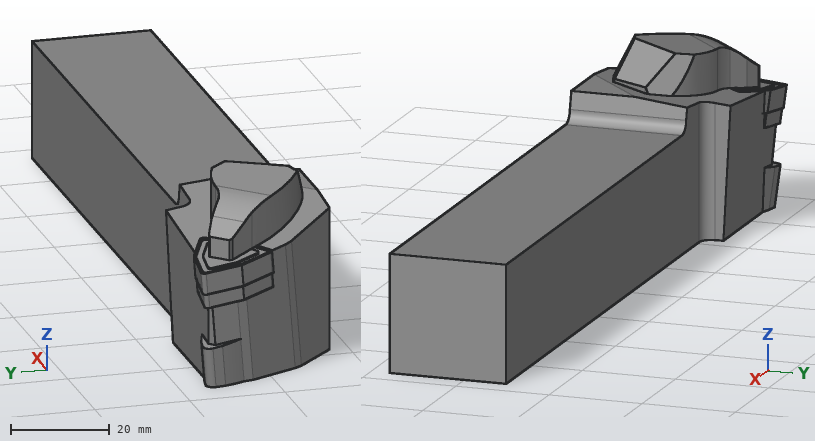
import cadquery as cq
import math


LENGTH = 149.93
SHANK = 25.0
TIP_OFFSET = 32.0
HEAD_HEIGHT = 31.2
STEP_X = 40.7
STEP_ROUND_X = 44.15
SHOULDER_X = 31.0
SHOULDER_ROUND_X = 33.8
STEP_RADIUS = 2.55
CHAMFER = 18.2
SIDE_Y = 30.9
SIDE_LEAN = 3.0

REACH = 100.0

TILT = 6.0

HEAD_FACES = [(7.6, -21.4), (6.15, -19.3), (1.4, -9.2), (1.0, -7.2), (0.4, -1.7)]
NOSE_BEVEL = 3.7

SIDES = 3
INSCRIBED_RADIUS = 6.35
NOSE_ANGLE = 80.0
CORNER_DIRECTION = math.radians(135.0)
NOSE_RADIUS = 0.8
INSERT_THICKNESS = 4.76
LAND = 0.4
PLATEAU_INSET = 1.8
GROOVE_DEPTH = 0.25
SHIM_THICKNESS = 3.18
SHIM_INSET = 0.2

FOOT_TOP = 16.5

CLAMP_TOP = 38.41
CLAMP_PEAK = (22.6, 6.8)
CLAMP_REAR_ANGLE = 42.0
CLAMP_REAR_TURN = -31.0
CLAMP_FACETS = [
    ((25.0, 3.7, 31.0), (0.287, -1.0, 0.57)),
    ((29.9, 18.9, 38.2), (0.79, 0.535, 0.29)),
]

slope = math.tan(math.radians(TILT))
half_nose = math.radians(NOSE_ANGLE / 2)
corner_distance = INSCRIBED_RADIUS / math.sin(half_nose)
nose_setback = NOSE_RADIUS / math.sin(half_nose)

centre_offset = (corner_distance - nose_setback) * math.sqrt(0.5) + NOSE_RADIUS

seat = cq.Plane(
    origin=(0, TIP_OFFSET, SHANK),
    xDir=(1, 0, slope),
    normal=(-slope, slope, 1),
)


def mirrored(point):
    """Mirror a seat point across the bisector of the cutting corner."""
    return (-point[1], -point[0])


def beyond(origin, normal):
    """Large block filling the space on the outer side of a plane."""
    plane = cq.Plane(origin=origin, normal=normal)
    return cq.Workplane(plane).rect(2 * REACH, 2 * REACH).extrude(REACH)


def trigon(inset, thickness, depth=0.0):
    """Rounded trigon prism hanging down from a given depth below the seat plane."""
    radius = INSCRIBED_RADIUS - inset
    far = radius / math.sin(half_nose)
    pitch = math.pi / SIDES
    near = radius / math.cos(pitch + half_nose - math.pi / 2)
    points = []
    for i in range(2 * SIDES):
        distance = far if i % 2 == 0 else near
        angle = CORNER_DIRECTION + pitch * i
        points.append((centre_offset + distance * math.cos(angle),
                       -centre_offset + distance * math.sin(angle)))
    prism = cq.Workplane(seat).workplane(offset=-depth).polyline(points).close().extrude(-thickness)
    for corner in points[::2]:
        edge_middle = seat.toWorldCoords((*corner, -depth - thickness / 2))
        prism = prism.edges(cq.selectors.NearestToPointSelector(edge_middle.toTuple())).fillet(NOSE_RADIUS)
    return prism


def make_insert():
    """Trigon insert with a chip groove between the edge land and the central plateau."""
    groove = trigon(LAND, GROOVE_DEPTH).cut(trigon(PLATEAU_INSET, GROOVE_DEPTH))
    return trigon(0, INSERT_THICKNESS).cut(groove)


def make_block():
    """Shank and head: side profile crossed with plan profile, each with a rounded step to the shank."""
    quarter = STEP_RADIUS * math.sqrt(0.5)
    round_level = SHANK + STEP_RADIUS
    profile = (
        cq.Workplane("XZ")
        .lineTo(0, HEAD_HEIGHT)
        .lineTo(STEP_X, HEAD_HEIGHT)
        .lineTo(STEP_ROUND_X - STEP_RADIUS, round_level)
        .threePointArc((STEP_ROUND_X - quarter, round_level - quarter), (STEP_ROUND_X, SHANK))
        .lineTo(LENGTH, SHANK)
        .lineTo(LENGTH, 0)
        .close()
        .extrude(-TIP_OFFSET)
    )
    plan = (
        cq.Workplane("XY")
        .moveTo(CHAMFER, 0)
        .lineTo(0, CHAMFER)
        .lineTo(0, SIDE_Y)
        .lineTo(SHOULDER_X, SIDE_Y)
        .lineTo(SHOULDER_ROUND_X - STEP_RADIUS, round_level)
        .threePointArc((SHOULDER_ROUND_X - quarter, round_level - quarter), (SHOULDER_ROUND_X, SHANK))
        .lineTo(LENGTH, SHANK)
        .lineTo(LENGTH, 0)
        .close()
        .extrude(HEAD_HEIGHT)
    )
    lean = math.tan(math.radians(SIDE_LEAN))
    return profile.intersect(plan).cut(beyond((0, SIDE_Y, HEAD_HEIGHT), (0, 1, -lean)))


def make_nose_prism():
    """Space below the seat plane, bounded by the leaning front faces of the head."""
    bevel_end = (HEAD_FACES[-1][0] + NOSE_BEVEL, HEAD_FACES[-1][1] + NOSE_BEVEL)
    return (
        cq.Workplane(seat)
        .polyline([(HEAD_FACES[0][0], -REACH), *HEAD_FACES, bevel_end,
                   (2 * REACH, bevel_end[1]), (2 * REACH, -REACH)])
        .close()
        .extrude(-REACH)
    )


def make_foot():
    """Bulging foot under the cutting corner, symmetric about the corner's bisector."""
    root = HEAD_FACES[3]
    bend = (0.1, -5.0)
    shoulder = (-0.6, -2.9)
    flank = (-0.9, -0.8)
    nose = (-0.45, 0.45)
    foot = (
        cq.Workplane(seat)
        .workplane(offset=-FOOT_TOP)
        .moveTo(*root)
        .threePointArc(bend, shoulder)
        .lineTo(*flank)
        .threePointArc(nose, mirrored(flank))
        .lineTo(*mirrored(shoulder))
        .threePointArc(mirrored(bend), mirrored(root))
        .close()
        .extrude(-REACH)
    )
    return foot.cut(beyond((0, 0, 0), (0, 0, -1)))


def make_clamp():
    """Clamp finger: plan outline under a ramped top, with a sloped rear and two side facets."""
    outline = (
        cq.Workplane("XY")
        .moveTo(3.8, 24.5)
        .threePointArc((4.8, 27.3), (7.6, 28.4))
        .lineTo(10.6, 27.0)
        .lineTo(14.2, 24.6)
        .threePointArc((16.5, 23.8), (19.1, 23.7))
        .threePointArc((27.5, 22.2), (34.6, 17.3))
        .threePointArc((35.5, 15.8), (35.4, 14.0))
        .lineTo(30.4, 5.25)
        .threePointArc((28.0, 4.0), (25.0, 3.7))
        .threePointArc((14.65, 10.05), (7.0, 19.5))
        .close()
        .extrude(REACH)
    )
    diagonal = cq.Plane(origin=(0, 0, 0), xDir=(1, -1, 0), normal=(-1, -1, 0))
    ramp_foot = (-15.1, 30.4)
    ramp_end = (-11.0, 33.3)
    arc_middle = (-7.2, 35.6)
    arc_end = (-2.8, 36.75)
    peak = ((CLAMP_PEAK[0] - CLAMP_PEAK[1]) * math.sqrt(0.5), CLAMP_TOP)
    ramp = (
        cq.Workplane(diagonal)
        .moveTo(ramp_foot[0], 0)
        .lineTo(*ramp_foot)
        .lineTo(*ramp_end)
        .threePointArc(arc_middle, arc_end)
        .lineTo(*peak)
        .lineTo(REACH, CLAMP_TOP)
        .lineTo(REACH, 0)
        .close()
        .extrude(REACH, both=True)
    )
    rear_run = math.sin(math.radians(CLAMP_REAR_ANGLE))
    rear_rise = math.cos(math.radians(CLAMP_REAR_ANGLE))
    rear_turn = math.radians(CLAMP_REAR_TURN)
    rear_normal = (rear_run * math.cos(rear_turn), rear_run * math.sin(rear_turn), rear_rise)
    above_seat = cq.Workplane(seat).rect(2 * REACH, 2 * REACH).extrude(REACH)
    clamp = outline.intersect(ramp).intersect(above_seat)
    clamp = clamp.cut(beyond((*CLAMP_PEAK, CLAMP_TOP), rear_normal))
    for point, normal in CLAMP_FACETS:
        clamp = clamp.cut(beyond(point, normal))
    return clamp


insert = make_insert()
holder = (
    make_block()
    .intersect(make_nose_prism())
    .union(make_foot())
    .union(trigon(SHIM_INSET, SHIM_THICKNESS, INSERT_THICKNESS))
    .union(make_clamp())
    .cut(trigon(0, INSERT_THICKNESS))
)

result = cq.Compound.makeCompound([holder.solids().val(), insert.val()])